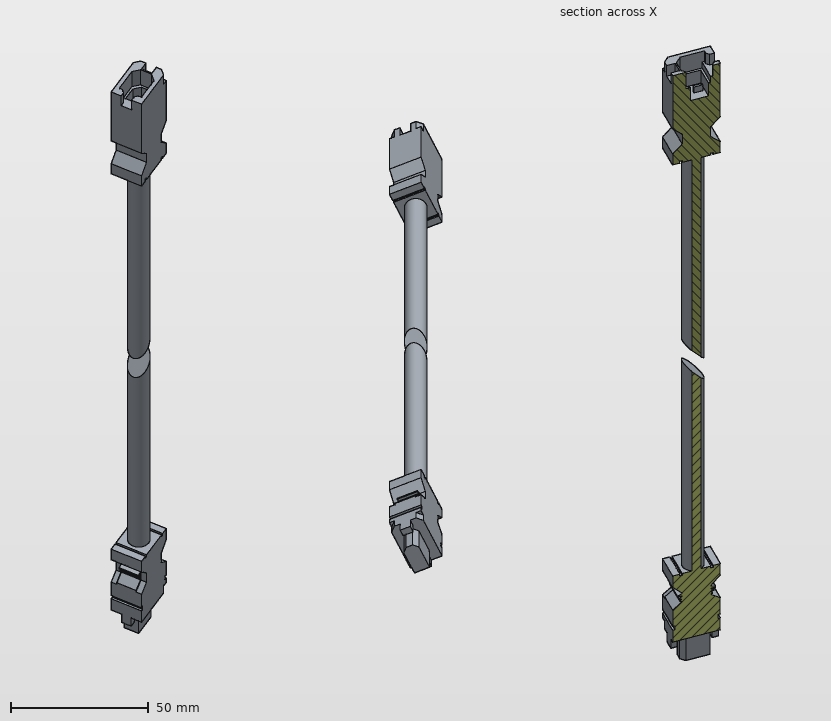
import cadquery as cq

TOTAL_LENGTH = 287.5
BODY_WIDTH = 12.6
BODY_DEPTH = 18.7
CONNECTOR_LENGTH = 43.7

CABLE_DIAMETER = 8.3
CABLE_CUT_RISE = 9.8
CABLE_GAP = 10.0

NECK_DEPTH = 11.2
END_GROOVE_WIDTH = 1.0
END_GROOVE_DEPTH = 1.0
END_GROOVE_Y = 6.0

CORNER_CHAMFER = 2.0

PLUG_BAND = 5.8
PLUG_BAND_SLOPE = 4.0
PLUG_NECK = 5.0
PLUG_BLOCK_SLOPE = 3.0
PLUG_CHAMFER_HEIGHT = 3.7
TONGUE_LENGTH = 11.2
TONGUE_WIDTH = 6.0
TONGUE_DEPTH = NECK_DEPTH
TONGUE_CHAMFER = 1.7
TAB_WIDTH = 4.0
TAB_THICKNESS = 2.5
TAB_HEIGHT = 4.3
SIDE_GROOVE_HEIGHT = 1.7
SIDE_GROOVE_DEPTH = 1.0
SIDE_GROOVE_ABOVE_FACE = 6.0
GRIP_WIDTH = 8.0
GRIP_CRESTS = [7.5, 7.0, 6.3]
GRIP_RAMP_RISE = 1.0
GRIP_PITCH = (PLUG_NECK - GRIP_RAMP_RISE) / len(GRIP_CRESTS)

SOCKET_BAND = 5.5
SOCKET_BAND_SLOPE = 3.7
SOCKET_NECK = 4.5
SOCKET_BLOCK_SLOPE = 3.7
SOCKET_CHAMFER_HEIGHT = 5.0
CAVITY_WIDTH = 9.2
CAVITY_DEPTH = 11.0
CAVITY_CHAMFER = 2.3
CAVITY_LEDGE = 1.0
LEDGE_BELOW_FACE = 8.0
FLOOR_BELOW_FACE = 14.5
NOTCH_WIDTH = 4.3
NOTCH_HEIGHT = 5.2
BACK_WALL = 0.5
NOTCH_LEDGE = 1.0
NOTCH_FLARE = 1.2
BLADE_WIDTH = 1.0
BLADE_HEIGHT = 3.0
CONTACT_BLADES = [(2.3, 1.7), (-2.0, 3.5)]

HALF_WIDTH = BODY_WIDTH / 2
HALF_DEPTH = BODY_DEPTH / 2
HALF_NECK = NECK_DEPTH / 2


def box(x_range, y_range, z_range):
    """Axis-parallel box between the given limits."""
    (x0, x1), (y0, y1), (z0, z1) = x_range, y_range, z_range
    return cq.Workplane("XY").box(x1 - x0, y1 - y0, z1 - z0, centered=False).translate((x0, y0, z0))


def extrude_along_x(points, width):
    """Prism of a (y, z) outline, centred on X = 0."""
    return cq.Workplane("YZ").polyline(points).close().extrude(width / 2, both=True)


def mirrored_pair(shape):
    """The shape together with its mirror image on the other Y side."""
    return shape.union(shape.mirror("XZ"))


def waisted_body(cable_end_z, band_z, neck_start_z, neck_end_z, block_z, mating_z):
    """Block with a narrow neck and a grooved band at the end where the cable enters."""
    half_outline = [
        (HALF_DEPTH, cable_end_z),
        (HALF_DEPTH, band_z),
        (HALF_NECK, neck_start_z),
        (HALF_NECK, neck_end_z),
        (HALF_DEPTH, block_z),
        (HALF_DEPTH, mating_z),
    ]
    other_half = [(-y, z) for y, z in reversed(half_outline)]
    body = extrude_along_x(half_outline + other_half, BODY_WIDTH)
    for y in (-END_GROOVE_Y, END_GROOVE_Y):
        groove = cq.Workplane("XY").box(BODY_WIDTH, END_GROOVE_WIDTH, 2 * END_GROOVE_DEPTH)
        body = body.cut(groove.translate((0, y, cable_end_z)))
    return body


def corner_chamfers(low_z, height):
    """Wedges that bevel the two +Y corners next to the mating face."""
    wedge = (
        cq.Workplane("XY")
        .workplane(offset=low_z)
        .polyline(
            [
                (HALF_WIDTH, HALF_DEPTH),
                (HALF_WIDTH - CORNER_CHAMFER, HALF_DEPTH),
                (HALF_WIDTH, HALF_DEPTH - CORNER_CHAMFER),
            ]
        )
        .close()
        .extrude(height)
    )
    return wedge.union(wedge.mirror("YZ"))


def cable(connector_z, cut_axis_z):
    """Round cable from a connector to a slanted cut that rises towards +Y."""
    low_z, high_z = sorted((connector_z, cut_axis_z))
    radius = CABLE_DIAMETER / 2
    half_rise = CABLE_CUT_RISE / 2
    rod = (
        cq.Workplane("XY")
        .workplane(offset=low_z - half_rise)
        .circle(radius)
        .extrude(high_z - low_z + CABLE_CUT_RISE)
    )
    keep = [
        (-radius, cut_axis_z - half_rise),
        (radius, cut_axis_z + half_rise),
        (radius, connector_z),
        (-radius, connector_z),
    ]
    return rod.intersect(extrude_along_x(keep, CABLE_DIAMETER))


def bevelled_prism(width, depth, chamfer, low_z, high_z):
    """Upright rectangular prism whose two +Y edges are bevelled."""
    x = width / 2
    y = depth / 2
    outline = [(-x, -y), (x, -y), (x, y - chamfer), (x - chamfer, y), (chamfer - x, y), (-x, y - chamfer)]
    return cq.Workplane("XY").workplane(offset=low_z).polyline(outline).close().extrude(high_z - low_z)


PLUG_BAND_Z = CONNECTOR_LENGTH - PLUG_BAND
PLUG_NECK_TOP = PLUG_BAND_Z - PLUG_BAND_SLOPE
PLUG_NECK_BOTTOM = PLUG_NECK_TOP - PLUG_NECK
PLUG_BLOCK_TOP = PLUG_NECK_BOTTOM - PLUG_BLOCK_SLOPE


def latch_tabs():
    """Flat tabs under the mating face, one on each Y side of the tongue."""
    tab = box(
        (-TAB_WIDTH / 2, TAB_WIDTH / 2),
        (HALF_DEPTH - TAB_THICKNESS, HALF_DEPTH),
        (TONGUE_LENGTH - TAB_HEIGHT, TONGUE_LENGTH),
    )
    return mirrored_pair(tab)


def side_grooves():
    """Shallow grooves along X across both Y faces of the block."""
    low_z = TONGUE_LENGTH + SIDE_GROOVE_ABOVE_FACE
    groove = box(
        (-HALF_WIDTH, HALF_WIDTH),
        (HALF_DEPTH - SIDE_GROOVE_DEPTH, HALF_DEPTH),
        (low_z, low_z + SIDE_GROOVE_HEIGHT),
    )
    return mirrored_pair(groove)


def finger_grips():
    """Sawtooth ridges on the neck, ending in a raised ramp down to the block."""
    outline = [(0, PLUG_NECK_TOP), (HALF_NECK, PLUG_NECK_TOP)]
    for index, crest in enumerate(GRIP_CRESTS):
        ridge_bottom = PLUG_NECK_TOP - (index + 1) * GRIP_PITCH
        outline += [(crest, ridge_bottom + GRIP_PITCH / 2), (crest, ridge_bottom), (HALF_NECK, ridge_bottom)]
    outline += [
        (HALF_DEPTH, PLUG_BLOCK_TOP + GRIP_RAMP_RISE),
        (HALF_DEPTH, PLUG_BLOCK_TOP),
        (0, PLUG_BLOCK_TOP),
    ]
    return mirrored_pair(extrude_along_x(outline, GRIP_WIDTH))


def make_plug():
    """Lower connector with its tongue and its length of cable."""
    body = waisted_body(
        CONNECTOR_LENGTH, PLUG_BAND_Z, PLUG_NECK_TOP, PLUG_NECK_BOTTOM, PLUG_BLOCK_TOP, TONGUE_LENGTH
    )
    body = body.cut(corner_chamfers(TONGUE_LENGTH, PLUG_CHAMFER_HEIGHT)).cut(side_grooves())
    tongue = bevelled_prism(TONGUE_WIDTH, TONGUE_DEPTH, TONGUE_CHAMFER, 0, TONGUE_LENGTH)
    body = body.union(finger_grips()).union(tongue).union(latch_tabs())
    return body.union(cable(CONNECTOR_LENGTH, TOTAL_LENGTH / 2 - CABLE_GAP / 2))


SOCKET_CABLE_END = TOTAL_LENGTH - CONNECTOR_LENGTH
SOCKET_BAND_Z = SOCKET_CABLE_END + SOCKET_BAND
SOCKET_NECK_BOTTOM = SOCKET_BAND_Z + SOCKET_BAND_SLOPE
SOCKET_NECK_TOP = SOCKET_NECK_BOTTOM + SOCKET_NECK
SOCKET_BLOCK_BOTTOM = SOCKET_NECK_TOP + SOCKET_BLOCK_SLOPE
LEDGE_Z = TOTAL_LENGTH - LEDGE_BELOW_FACE
FLOOR_Z = TOTAL_LENGTH - FLOOR_BELOW_FACE


def socket_cavity():
    """Pocket for the tongue, stepped in by a ledge part of the way down."""
    mouth = bevelled_prism(CAVITY_WIDTH, CAVITY_DEPTH, CAVITY_CHAMFER, LEDGE_Z, TOTAL_LENGTH)
    inner = bevelled_prism(
        CAVITY_WIDTH - 2 * CAVITY_LEDGE, CAVITY_DEPTH - 2 * CAVITY_LEDGE, CAVITY_CHAMFER, FLOOR_Z, LEDGE_Z
    )
    return mouth.union(inner)


def back_notch():
    """Blind notch on the +Y side, closed towards the cavity by a thin wall."""
    return box(
        (-NOTCH_WIDTH / 2, NOTCH_WIDTH / 2),
        (CAVITY_DEPTH / 2 + BACK_WALL, HALF_DEPTH),
        (TOTAL_LENGTH - NOTCH_HEIGHT, TOTAL_LENGTH),
    )


def front_notch():
    """Notch on the -Y side that flares into a ledge along the cavity."""
    x = NOTCH_WIDTH / 2
    ledge_x = CAVITY_WIDTH / 2
    cavity_y = -CAVITY_DEPTH / 2
    ledge_y = cavity_y - NOTCH_LEDGE
    half_outline = [
        (x, -HALF_DEPTH),
        (x, ledge_y - NOTCH_FLARE),
        (x + NOTCH_FLARE, ledge_y),
        (ledge_x, ledge_y),
        (ledge_x, cavity_y),
    ]
    other_half = [(-px, py) for px, py in reversed(half_outline)]
    base = cq.Workplane("XY").workplane(offset=TOTAL_LENGTH - NOTCH_HEIGHT)
    return base.polyline(half_outline + other_half).close().extrude(NOTCH_HEIGHT)


def contact_blades():
    """Two thin blades standing on the cavity floor."""
    blades = cq.Workplane("XY")
    for y, length in CONTACT_BLADES:
        blade = box(
            (-BLADE_WIDTH / 2, BLADE_WIDTH / 2),
            (y - length / 2, y + length / 2),
            (FLOOR_Z, FLOOR_Z + BLADE_HEIGHT),
        )
        blades = blades.union(blade)
    return blades


def make_socket():
    """Upper connector with its cavity and its length of cable."""
    body = waisted_body(
        SOCKET_CABLE_END,
        SOCKET_BAND_Z,
        SOCKET_NECK_BOTTOM,
        SOCKET_NECK_TOP,
        SOCKET_BLOCK_BOTTOM,
        TOTAL_LENGTH,
    )
    body = body.cut(corner_chamfers(TOTAL_LENGTH - SOCKET_CHAMFER_HEIGHT, SOCKET_CHAMFER_HEIGHT))
    body = body.cut(socket_cavity()).cut(back_notch()).cut(front_notch()).union(contact_blades())
    return body.union(cable(SOCKET_CABLE_END, TOTAL_LENGTH / 2 + CABLE_GAP / 2))


plug = make_plug()
socket = make_socket()

result = cq.Compound.makeCompound([plug.val(), socket.val()])